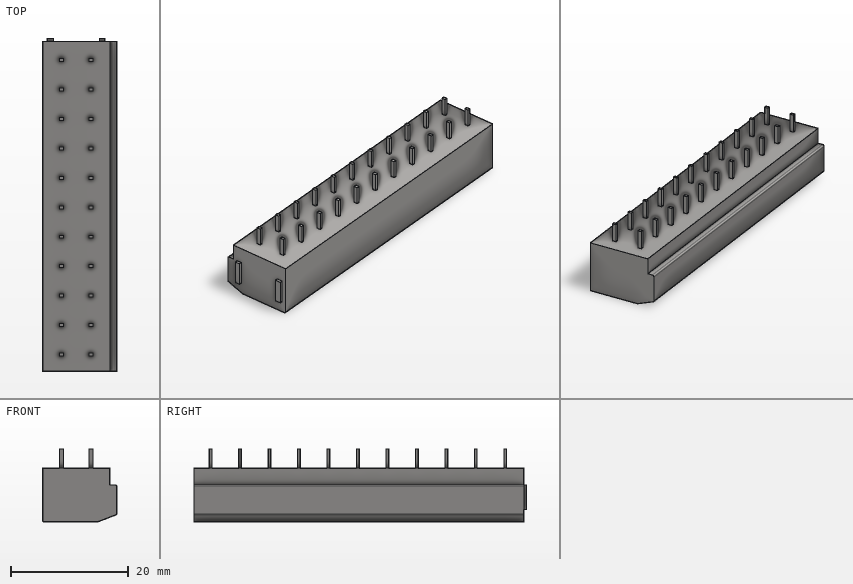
import cadquery as cq

overall_width = 12.6
overall_length = 56.5
overall_height = 12.4

peg_depth = 0.5
housing_length = overall_length - peg_depth
housing_height = 9.15
ledge_width = 1.2
ledge_height = 6.3
ledge_rounding = 0.3
bottom_edge_rounding = 0.3
slope_start = 9.35
slope_end_height = 1.25
slope_corner_rounding = 0.25

pin_rows = 11
pin_pitch = 5.0
pin_width = 0.7
pin_thickness = 0.5
pin_height = overall_height - housing_height
first_column_x = 3.2
pin_columns = (first_column_x, first_column_x + pin_pitch)
first_row_y = 2.85

pegs = ((0.75, 1.1), (9.65, 0.9))
peg_bottom = 2.1
peg_height = 4.2


def round_long_edge(housing, x, z, radius):
    """Round the edge that runs along Y through the profile corner (x, z)."""
    edge = cq.selectors.NearestToPointSelector((x, housing_length / 2, z))
    return housing.edges(edge).fillet(radius)


def make_housing():
    """Extrude the stepped profile along Y and round three of its long edges."""
    step_x = overall_width - ledge_width
    housing = (
        cq.Workplane("XZ")
        .moveTo(0, 0)
        .lineTo(slope_start, 0)
        .lineTo(overall_width, slope_end_height)
        .lineTo(overall_width, ledge_height)
        .lineTo(step_x, ledge_height)
        .lineTo(step_x, housing_height)
        .lineTo(0, housing_height)
        .close()
        .extrude(-housing_length)
    )
    housing = round_long_edge(housing, 0, 0, bottom_edge_rounding)
    housing = round_long_edge(housing, overall_width, slope_end_height, slope_corner_rounding)
    return round_long_edge(housing, overall_width, ledge_height, ledge_rounding)


def make_pins():
    """Rectangular pins standing on the top face."""
    centres = [
        (x, first_row_y + row * pin_pitch)
        for x in pin_columns
        for row in range(pin_rows)
    ]
    return (
        cq.Workplane("XY", origin=(0, 0, housing_height))
        .pushPoints(centres)
        .rect(pin_width, pin_thickness)
        .extrude(pin_height)
    )


def make_peg(left, width):
    """A shallow upright bar on the +Y end face."""
    return (
        cq.Workplane("XY")
        .box(width, peg_depth, peg_height, centered=False)
        .translate((left, housing_length, peg_bottom))
    )


result = make_housing().union(make_pins())
for peg_left, peg_width in pegs:
    result = result.union(make_peg(peg_left, peg_width))